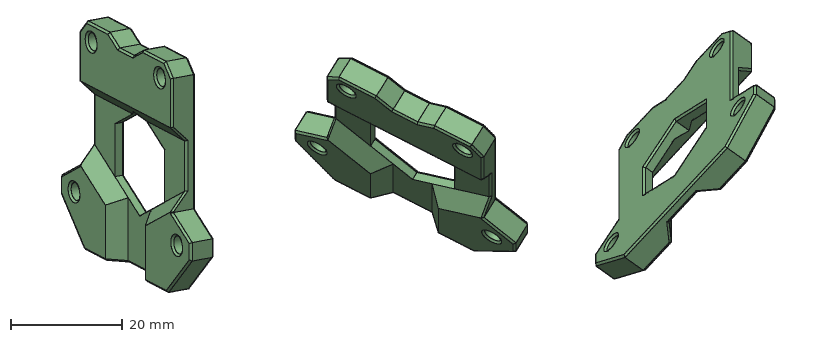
import cadquery as cq
import math

overall_width = 45.62
overall_height = 43.47
thickness = 5.0
top_z = 23.5
bottom_z = top_z - overall_height
body_half_width = 16.2
top_corner_cut = 2.5
edge_chamfer = 0.4

notch_half_width = 6.0
notch_depth = 2.0

ear_half_width = overall_width / 2
ear_tip_top_z = -8.2
ear_tip_bottom_z = -11.7

hex_corner_radius = 10.0
hex_corner_count = 6

recess_depth = 3.0
recess_floor_top_z = 8.6
channel_floor_half_width = 4.0
end_overrun = 1.0

hole_diameter = 3.3
upper_hole_x, upper_hole_z = 12.0, 20.0
lower_hole_x, lower_hole_z = 18.0, -10.0

side_angle = math.radians(30)
slope = math.tan(side_angle)
back_y = thickness / 2
front_y = -back_y
recess_floor_y = front_y + recess_depth


def mirrored(right_half):
    """Points of the right half followed by their mirror images across X = 0, in reverse order."""
    return right_half + [(-x, z) for x, z in reversed(right_half)]


def front_plane(y):
    """Workplane at the given Y, with X right and Z up; its normal is -Y."""
    return cq.Workplane("XZ", origin=(0, y, 0))


def hexagon():
    angles = [i * 2 * math.pi / hex_corner_count for i in range(hex_corner_count)]
    corners = [(hex_corner_radius * math.sin(a), hex_corner_radius * math.cos(a)) for a in angles]
    return front_plane(back_y).polyline(corners).close().extrude(thickness)


def screw_holes():
    centres = mirrored([(upper_hole_x, upper_hole_z), (lower_hole_x, lower_hole_z)])
    return front_plane(back_y).pushPoints(centres).circle(hole_diameter / 2).extrude(thickness)


def plate():
    """Plate with its openings, chamfered all round on the front and back faces."""
    notch_floor_z = top_z - notch_depth
    notch_floor_half_width = notch_half_width - notch_depth / slope
    shoulder_z = ear_tip_top_z + (ear_half_width - body_half_width) * slope
    bottom_half_width = ear_half_width - (ear_tip_bottom_z - bottom_z)
    right_half = [
        (notch_floor_half_width, notch_floor_z),
        (notch_half_width, top_z),
        (body_half_width - top_corner_cut, top_z),
        (body_half_width, top_z - top_corner_cut),
        (body_half_width, shoulder_z),
        (ear_half_width, ear_tip_top_z),
        (ear_half_width, ear_tip_bottom_z),
        (bottom_half_width, bottom_z),
    ]
    blank = front_plane(back_y).polyline(mirrored(right_half)).close().extrude(thickness)
    return blank.cut(hexagon()).cut(screw_holes()).faces("|Y").chamfer(edge_chamfer)


def upper_side_z(spread):
    """Height of the upper side of the recess, moved outwards by spread from the floor outline."""
    return recess_floor_top_z + spread


def lower_side_z(x, spread):
    """Height at x > 0 of the lower side of the recess, in line with a side of the hexagon."""
    return x * slope - hex_corner_radius - spread / math.cos(side_angle)


def recess_outline(spread):
    """Recess outline with every side moved outwards by spread from the floor outline."""
    end_x = body_half_width + end_overrun
    channel_x = channel_floor_half_width + spread
    return mirrored([
        (end_x, upper_side_z(spread)),
        (end_x, lower_side_z(end_x, spread)),
        (channel_x, lower_side_z(channel_x, spread)),
        (channel_x, bottom_z - end_overrun),
    ])


def recess():
    """Recess with a flat floor and walls sloping at 45 degrees."""
    floor = front_plane(recess_floor_y).polyline(recess_outline(0)).close()
    mouth = floor.workplane(offset=recess_depth).polyline(recess_outline(recess_depth)).close()
    return mouth.loft(ruled=True)


def section_levels(offset):
    """(y, spread) of the floor and the mouth when all recess faces move by offset into the part."""
    wall_shift = offset * math.sqrt(2)
    floor_level = (recess_floor_y + offset, wall_shift - offset)
    mouth_level = (front_y, recess_depth + wall_shift)
    return floor_level, mouth_level


def side_section(x, offset):
    """Recess section at constant x."""
    (floor_y, floor_spread), (mouth_y, mouth_spread) = section_levels(offset)
    return cq.Wire.makePolygon([
        cq.Vector(x, floor_y, upper_side_z(floor_spread)),
        cq.Vector(x, floor_y, lower_side_z(x, floor_spread)),
        cq.Vector(x, mouth_y, lower_side_z(x, mouth_spread)),
        cq.Vector(x, mouth_y, upper_side_z(mouth_spread)),
    ], close=True)


def channel_section(z, offset):
    """Section of the channel at constant z."""
    (floor_y, floor_spread), (mouth_y, mouth_spread) = section_levels(offset)
    floor_x = channel_floor_half_width + floor_spread
    mouth_x = channel_floor_half_width + mouth_spread
    return cq.Wire.makePolygon([
        cq.Vector(floor_x, floor_y, z),
        cq.Vector(-floor_x, floor_y, z),
        cq.Vector(-mouth_x, mouth_y, z),
        cq.Vector(mouth_x, mouth_y, z),
    ], close=True)


def flare(inner_section, outer_section):
    """Widening at an open end of the recess, which chamfers the edges there."""
    return cq.Workplane(cq.Solid.makeLoft([inner_section, outer_section], True))


def end_flares():
    inner_x = body_half_width - edge_chamfer
    inner_z = bottom_z + edge_chamfer
    right = flare(side_section(inner_x, 0), side_section(body_half_width, edge_chamfer))
    left = right.mirror("YZ")
    bottom = flare(channel_section(inner_z, 0), channel_section(bottom_z, edge_chamfer))
    return [right, left, bottom]


result = plate().cut(recess())
for end_flare in end_flares():
    result = result.cut(end_flare)